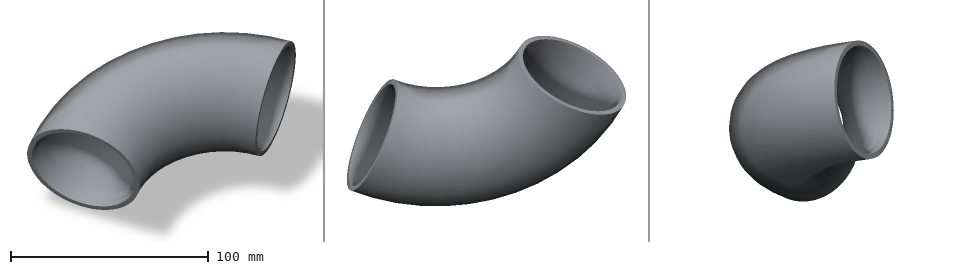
import cadquery as cq

outer_diameter = 60.3
inner_diameter = 55.1
overall_length = 106.2
bend_angle = 90.0

bend_radius = overall_length - outer_diameter / 2

pipe_section = (
    cq.Workplane("XZ")
    .center(-bend_radius, 0)
    .circle(outer_diameter / 2)
    .circle(inner_diameter / 2)
)

result = pipe_section.revolve(bend_angle, (bend_radius, 0), (bend_radius, -1))